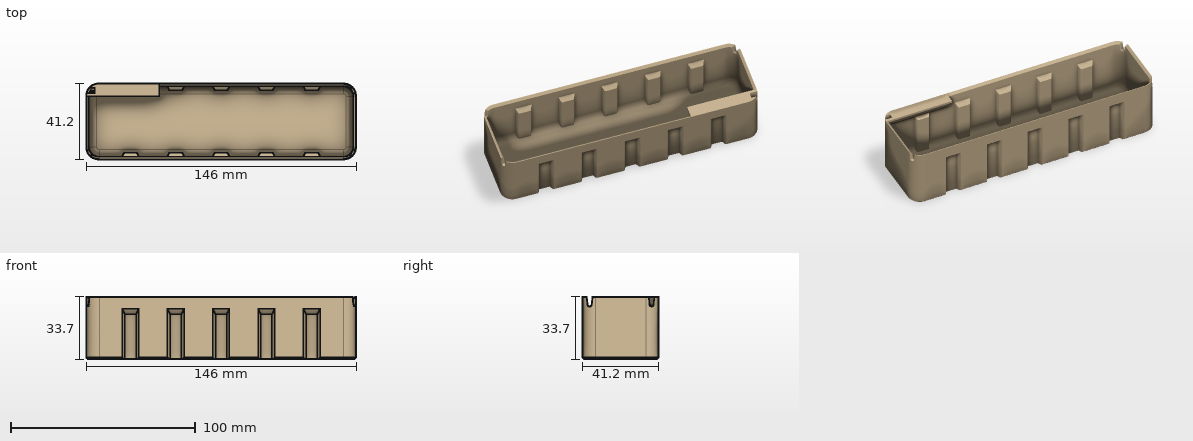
import cadquery as cq
import math

LENGTH = 146.0
WIDTH = 41.2
HEIGHT = 33.7
CORNER_RADIUS = 7.0
WALL = 1.5
FLOOR = 1.5
FLOOR_FILLET = 4.0
BASE_CHAMFER = 1.0

RIM_FLAT = 0.3

GROOVE_COUNT = 5
GROOVE_PITCH = 24.5
GROOVE_DEPTH = 3.0
GROOVE_WIDTH = 9.0
GROOVE_TOP = 27.2
GROOVE_FLANK_RUN = 1.5
GROOVE_TOP_DROP = GROOVE_DEPTH
GROOVE_SKIN = 0.75
RIB_EDGE_RADIUS = 0.9

LEDGE_LENGTH = 39.6
LEDGE_DEPTH = 7.0
LEDGE_LIP = 1.2
LEDGE_GUSSET = 7.3

SLOT_OFFSET = 16.75
SLOT_TOP_WIDTH = 3.1
SLOT_END_RADIUS = 1.05
SLOT_DEPTH = 5.2
SLOT_LENGTH = 4.6


def rounded_block(inset, bottom, top):
    """Upright block with rounded corners, inset from the outer walls."""
    return (
        cq.Workplane("XY", origin=(0, 0, bottom))
        .rect(LENGTH - 2 * inset, WIDTH - 2 * inset)
        .extrude(top - bottom)
        .edges("|Z")
        .fillet(CORNER_RADIUS - inset)
    )


def make_outer():
    """Solid outer body with a chamfered base."""
    return rounded_block(0, 0, HEIGHT).faces("<Z").edges().chamfer(BASE_CHAMFER)


def make_cavity():
    """Inside space with a filleted floor, widening at the bevelled rim."""
    bevel_size = WALL - RIM_FLAT
    pocket = rounded_block(WALL, FLOOR, HEIGHT).faces("<Z").edges().fillet(FLOOR_FILLET)
    bevel = (
        rounded_block(RIM_FLAT, HEIGHT - bevel_size, HEIGHT + bevel_size)
        .faces("<Z")
        .edges()
        .chamfer(bevel_size)
    )
    return pocket.union(bevel)


def rectangle_from_base(half_width, top):
    """Corner points of an upright rectangle standing on the base plane."""
    return [(-half_width, 0), (half_width, 0), (half_width, top), (-half_width, top)]


def tapered_form(x, skin):
    """Tapered form reaching in from the -Y face: the groove, with every face moved out by skin."""
    depth = GROOVE_DEPTH + skin
    flank_skin = skin * math.hypot(GROOVE_FLANK_RUN, GROOVE_DEPTH) / GROOVE_DEPTH
    top_skin = skin * math.hypot(GROOVE_TOP_DROP, GROOVE_DEPTH) / GROOVE_DEPTH
    mouth_half_width = GROOVE_WIDTH / 2 + flank_skin
    mouth_top = GROOVE_TOP + top_skin
    crest_half_width = mouth_half_width - GROOVE_FLANK_RUN * depth / GROOVE_DEPTH
    crest_top = mouth_top - GROOVE_TOP_DROP * depth / GROOVE_DEPTH
    return (
        cq.Workplane("XZ", origin=(x, -WIDTH / 2, 0))
        .polyline(rectangle_from_base(mouth_half_width, mouth_top))
        .close()
        .workplane(offset=-depth)
        .polyline(rectangle_from_base(crest_half_width, crest_top))
        .close()
        .loft(combine=True)
    )


def make_groove(x):
    """Groove cut into the outside of the -Y wall."""
    return tapered_form(x, 0)


def make_rib(x):
    """Rib inside the -Y wall that covers one groove, with rounded upright edges."""
    return tapered_form(x, GROOVE_SKIN).faces(">Y").edges("|Z").fillet(RIB_EDGE_RADIUS)


def along_both_walls(make_form):
    """Row of forms on the -Y wall together with its mirror image on the +Y wall."""
    row = cq.Workplane("XY")
    for index in range(GROOVE_COUNT):
        x = (index - (GROOVE_COUNT - 1) / 2) * GROOVE_PITCH
        form = make_form(x)
        row = row.add(form).add(form.mirror("XZ"))
    return row.combine()


def make_ledge():
    """Flat ledge along the +Y wall, carried by a sloping gusset."""
    outer_y = WIDTH / 2
    front_y = outer_y - LEDGE_DEPTH
    lip_bottom = HEIGHT - LEDGE_LIP
    wall_y = outer_y - WALL
    return (
        cq.Workplane("YZ", origin=(-LENGTH / 2, 0, 0))
        .polyline([
            (outer_y, HEIGHT),
            (front_y, HEIGHT),
            (front_y, lip_bottom),
            (wall_y, lip_bottom - LEDGE_GUSSET),
            (outer_y, lip_bottom - LEDGE_GUSSET),
        ])
        .close()
        .extrude(LEDGE_LENGTH)
    )


def make_slots():
    """Round-bottomed slots through all four corners."""
    half_top = SLOT_TOP_WIDTH / 2
    end_z = HEIGHT - SLOT_DEPTH
    round_z = end_z + SLOT_END_RADIUS
    slots = cq.Workplane("XY")
    for start_x in (-LENGTH / 2, LENGTH / 2 - SLOT_LENGTH):
        for y in (-SLOT_OFFSET, SLOT_OFFSET):
            slot = (
                cq.Workplane("YZ", origin=(start_x, y, 0))
                .moveTo(-half_top, HEIGHT)
                .lineTo(-SLOT_END_RADIUS, round_z)
                .threePointArc((0, end_z), (SLOT_END_RADIUS, round_z))
                .lineTo(half_top, HEIGHT)
                .close()
                .extrude(SLOT_LENGTH)
            )
            slots = slots.add(slot)
    return slots.combine()


outer = make_outer()
tray = outer.cut(make_cavity())
tray = tray.union(along_both_walls(make_rib).intersect(outer))
tray = tray.union(make_ledge().intersect(outer))
tray = tray.cut(along_both_walls(make_groove))
result = tray.cut(make_slots()).solids()